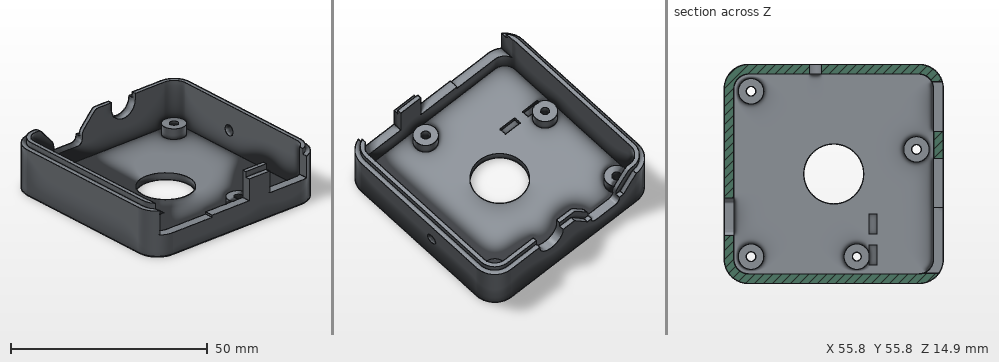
import cadquery as cq

side = 55.8
height = 14.9
wall = 2.5
floor_thickness = 2.0
corner_radius = 6.25
foot_chamfer = 0.5

lip_inset = 1.35
lip_height = 1.55
shoulder_z = height - lip_height

floor_hole_diameter = 15.2
boss_diameter = 6.5
boss_height = 3.0
screw_diameter = 2.4
small_screw_diameter = 2.2
boss_offset = 21.05
right_boss_y = 6.25
front_boss_x = 5.85
bosses = [
    (-boss_offset, boss_offset, screw_diameter),
    (-boss_offset, -boss_offset, screw_diameter),
    (boss_offset, right_boss_y, screw_diameter),
    (front_boss_x, -boss_offset, small_screw_diameter),
]
pocket_width = 2.1
pocket_length = 5.1
pocket_depth = 1.0
pocket_x = 10.0
pocket_centres_y = (-12.8, -20.6)

cable_notch_radius = 4.0
cable_notch_y = 7.75
cable_notch_z = 13.1

plug_notch_y = -10.9
plug_notch_z = 6.25
plug_half_width = 4.8
plug_flare_z = 9.7
plug_flare_half_width = 9.4
plug_lower_radius = 1.5
plug_middle_radius = 2.5
plug_upper_radius = 2.0
relief_z = 8.25
relief_half_width = 6.25
relief_flare_half_width = 10.65

wall_openings = [
    (-25.2, -8.6, 6.55),
    (-8.6, 3.9, 7.15),
    (10.8, 23.45, 7.15),
]

side_hole_diameter = 3.0
side_hole_x = -4.7
side_hole_z = 7.75

clearance = 0.55


def rounded_block(inset, bottom, top):
    """Square block set in from the outer side, with corners concentric to the outer ones."""
    width = side - 2 * inset
    block = cq.Workplane("XY").workplane(offset=bottom).rect(width, width).extrude(top - bottom)
    return block.edges("|Z").fillet(corner_radius - inset)


def box_between(x_range, y_range, z_range):
    """Box given by its limits along X, Y and Z."""
    sizes = [high - low for low, high in (x_range, y_range, z_range)]
    corner = (x_range[0], y_range[0], z_range[0])
    return cq.Workplane("XY").box(*sizes, centered=False).translate(corner)


def cutter_through_left_wall(profile, depth):
    """Push a YZ profile drawn at x = 0 into the -X wall from outside."""
    start = -side / 2 - clearance
    return profile.extrude(depth + clearance).translate((start, 0, 0))


def flared_profile(half_outline):
    """YZ outline mirrored about the plug notch middle and carried up past the rim.

    half_outline lists (distance from the middle, z) points from the bottom upwards.
    """
    outer_distance = half_outline[-1][0]
    far_side = half_outline + [(outer_distance, height + clearance)]
    near_side = [(-distance, z) for distance, z in reversed(far_side)]
    points = [(plug_notch_y + distance, z) for distance, z in far_side + near_side]
    return cq.Workplane("YZ").polyline(points).close()


def edges_at(y_offset, z):
    """Selector for the two X-parallel notch edges at a height, either side of its middle."""
    tolerance = 0.05

    def around(y):
        low = (-side, y - tolerance, z - tolerance)
        high = (side, y + tolerance, z + tolerance)
        return cq.selectors.BoxSelector(low, high)

    return around(plug_notch_y - y_offset) + around(plug_notch_y + y_offset)


def tray():
    body = rounded_block(0, 0, shoulder_z).faces("<Z").edges().chamfer(foot_chamfer)
    lip = rounded_block(lip_inset, floor_thickness, height)
    cavity = rounded_block(wall, floor_thickness, height + clearance)
    return body.union(lip).cut(cavity)


def add_floor_features(body):
    for x, y, _ in bosses:
        boss = cq.Workplane("XY").circle(boss_diameter / 2).extrude(floor_thickness + boss_height)
        body = body.union(boss.translate((x, y, 0)))
    for x, y, diameter in bosses + [(0, 0, floor_hole_diameter)]:
        hole = cq.Workplane("XY").circle(diameter / 2).extrude(height)
        body = body.cut(hole.translate((x, y, 0)))
    for y in pocket_centres_y:
        pocket = cq.Workplane("XY").rect(pocket_width, pocket_length).extrude(height)
        body = body.cut(pocket.translate((pocket_x, y, floor_thickness - pocket_depth)))
    return body


def cable_notch():
    top = height + clearance
    near_y = cable_notch_y - cable_notch_radius
    far_y = cable_notch_y + cable_notch_radius
    bottom = (cable_notch_y, cable_notch_z - cable_notch_radius)
    profile = (
        cq.Workplane("YZ")
        .moveTo(near_y, top)
        .lineTo(near_y, cable_notch_z)
        .threePointArc(bottom, (far_y, cable_notch_z))
        .lineTo(far_y, top)
        .close()
    )
    return cutter_through_left_wall(profile, wall + clearance)


def plug_notch():
    profile = flared_profile([
        (plug_half_width, plug_notch_z),
        (plug_half_width, plug_flare_z),
        (plug_flare_half_width, height),
    ])
    notch = cutter_through_left_wall(profile, wall + clearance)
    notch = notch.edges(edges_at(plug_half_width, plug_notch_z)).fillet(plug_lower_radius)
    return notch.edges(edges_at(plug_half_width, plug_flare_z)).fillet(plug_middle_radius)


def shoulder_relief():
    profile = flared_profile([
        (relief_half_width, relief_z),
        (relief_flare_half_width, shoulder_z),
    ])
    return cutter_through_left_wall(profile, lip_inset)


def round_flare_tops(body):
    """Round the rim where the flares of the plug notch meet the top of the lip."""
    return body.edges(edges_at(plug_flare_half_width, height)).fillet(plug_upper_radius)


def cut_right_wall(body):
    """Open the +X wall down to its sills, reaching inwards across the rounded corners."""
    x_range = (side / 2 - corner_radius, side / 2 + clearance)
    for start_y, end_y, sill_z in wall_openings:
        body = body.cut(box_between(x_range, (start_y, end_y), (sill_z, height + clearance)))
    return body


def side_hole():
    start_y = side / 2 + clearance
    hole = cq.Workplane("XZ").circle(side_hole_diameter / 2).extrude(wall + 2 * clearance)
    return hole.translate((side_hole_x, start_y, side_hole_z))


result = tray()
result = result.cut(plug_notch())
result = round_flare_tops(result)
result = result.cut(shoulder_relief())
result = result.cut(cable_notch())
result = cut_right_wall(result)
result = result.cut(side_hole())
result = add_floor_features(result)